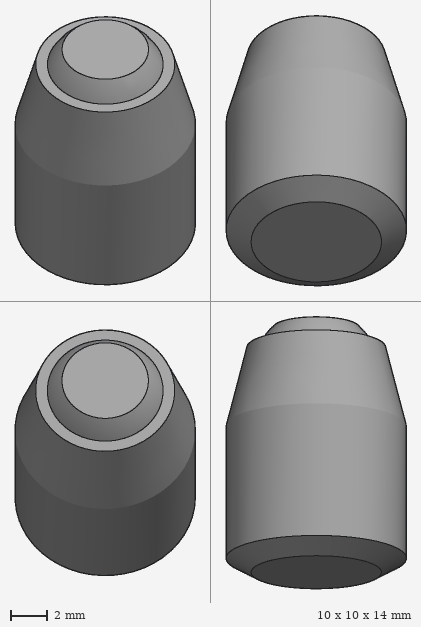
import cadquery as cq
import math

height = 14.0
body_radius = 10.0 / 2

base_radius = 3.61
chamfer_angle = 30.0
chamfer_height = (body_radius - base_radius) * math.tan(math.radians(chamfer_angle))

nose_bottom = 8.35
nose_top = 12.87
nose_top_radius = 3.85

tip_base_radius = 3.2
tip_flat_radius = 2.4
tip_bulge = 0.07

profile = (
    cq.Workplane("XZ")
    .lineTo(base_radius, 0)
    .lineTo(body_radius, chamfer_height)
    .lineTo(body_radius, nose_bottom)
    .lineTo(nose_top_radius, nose_top)
    .lineTo(tip_base_radius, nose_top)
    .sagittaArc((tip_flat_radius, height), -tip_bulge)
    .lineTo(0, height)
    .close()
)

result = profile.revolve(360, (0, 0, 0), (0, 1, 0))